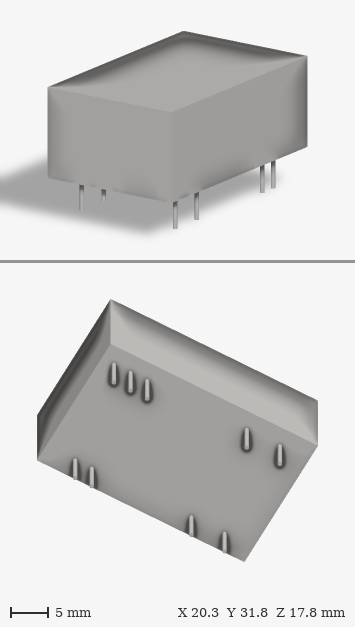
import cadquery as cq

HOUSING_WIDTH = 20.3
HOUSING_LENGTH = 31.8
OVERALL_HEIGHT = 17.8

PIN_DIAMETER = 0.6
PIN_LENGTH = 5.1
PIN_PITCH = 2.55
PINS_PER_FULL_ROW = 12
ROW_SPACING = 15.23

LEFT_ROW_POSITIONS = [1, 2, 3, 9, 11]
RIGHT_ROW_POSITIONS = [2, 3, 9, 11]

HOUSING_HEIGHT = OVERALL_HEIGHT - PIN_LENGTH
FIRST_PIN_Y = (PINS_PER_FULL_ROW - 1) * PIN_PITCH / 2


def make_housing():
    """Rectangular block with its underside on Z = 0."""
    return cq.Workplane("XY").box(
        HOUSING_WIDTH, HOUSING_LENGTH, HOUSING_HEIGHT, centered=(True, True, False)
    )


def make_pin(x, y):
    """Round pin hanging down from the underside of the housing."""
    return cq.Workplane("XY").center(x, y).circle(PIN_DIAMETER / 2).extrude(-PIN_LENGTH)


def make_pin_row(x, positions):
    """One pin at each occupied position of a row."""
    return [make_pin(x, FIRST_PIN_Y - (position - 1) * PIN_PITCH) for position in positions]


housing = make_housing()
left_pins = make_pin_row(-ROW_SPACING / 2, LEFT_ROW_POSITIONS)
right_pins = make_pin_row(ROW_SPACING / 2, RIGHT_ROW_POSITIONS)

result = cq.Compound.makeCompound(
    [housing.val(), *[pin.val() for pin in left_pins + right_pins]]
)